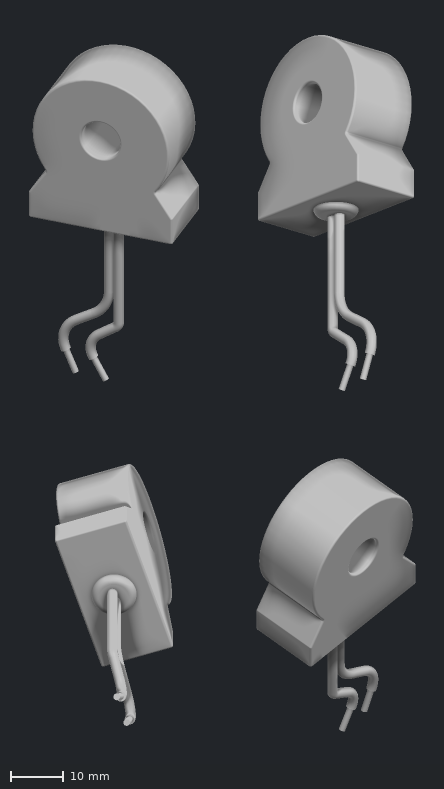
import cadquery as cq
import math

BASE_WIDTH = 29.4
DEPTH = 14.4
HOUSING_HEIGHT = 33.3
HEAD_RADIUS = 14.0
SHOULDER_HEIGHT = 5.65
NECK_HEIGHT = 10.8
EDGE_RADIUS = 0.4

BORE_RADIUS = 3.95
BORE_HEIGHT = 20.0

OUTLET_RADIUS = 4.3
OUTLET_HEIGHT = 1.35

WIRE_RADIUS = 1.0
BARE_RADIUS = 0.65

LEFT_WIRE = {
    "entry_x": -WIRE_RADIUS,
    "upper_corner_z": -21.0,
    "upper_bend": 6.5,
    "lower_corner": (-11.75, -27.6),
    "lower_bend": 5.3,
    "insulation_end": (-9.8, -32.0),
    "bare_length": 5.0,
}
RIGHT_WIRE = {
    "entry_x": WIRE_RADIUS,
    "upper_corner_z": -24.5,
    "upper_bend": 1.4,
    "lower_corner": (-6.0, -29.4),
    "lower_bend": 3.9,
    "insulation_end": (-4.2, -32.65),
    "bare_length": 5.1,
}


def make_housing():
    """Housing with rounded edges, bore and cable outlet."""
    half_width = BASE_WIDTH / 2
    head_z = HOUSING_HEIGHT - HEAD_RADIUS
    neck_x = math.sqrt(HEAD_RADIUS**2 - (NECK_HEIGHT - head_z) ** 2)
    body = (
        cq.Workplane("XZ")
        .moveTo(-half_width, 0)
        .lineTo(half_width, 0)
        .lineTo(half_width, SHOULDER_HEIGHT)
        .lineTo(neck_x, NECK_HEIGHT)
        .threePointArc((0, HOUSING_HEIGHT), (-neck_x, NECK_HEIGHT))
        .lineTo(-half_width, SHOULDER_HEIGHT)
        .close()
        .extrude(DEPTH / 2, both=True)
    )
    body = body.edges("|Y").fillet(EDGE_RADIUS)

    bore = (
        cq.Workplane("XZ")
        .center(0, BORE_HEIGHT)
        .circle(BORE_RADIUS)
        .extrude(DEPTH, both=True)
    )
    body = body.cut(bore)
    body = body.faces("<Y or >Y").edges().fillet(EDGE_RADIUS)

    flat_radius = OUTLET_RADIUS - OUTLET_HEIGHT
    arc_inset = OUTLET_HEIGHT * (1 - math.sqrt(0.5))
    outlet = (
        cq.Workplane("XZ")
        .lineTo(OUTLET_RADIUS, 0)
        .threePointArc(
            (OUTLET_RADIUS - arc_inset, arc_inset - OUTLET_HEIGHT),
            (flat_radius, -OUTLET_HEIGHT),
        )
        .lineTo(0, -OUTLET_HEIGHT)
        .close()
        .revolve(360, (0, 0), (0, 1))
    )
    return body.union(outlet)


def direction(start, end):
    """Unit vector from start to end."""
    return (end - start).normalized()


def bend_points(before, corner, after, radius):
    """Start, middle and end of the arc that rounds a corner of the centreline."""
    back = direction(corner, before)
    ahead = direction(corner, after)
    half_angle = back.getAngle(ahead) / 2
    tangent_length = radius / math.tan(half_angle)
    middle_distance = radius / math.sin(half_angle) - radius
    middle = corner + (back + ahead).normalized() * middle_distance
    return corner + back * tangent_length, middle, corner + ahead * tangent_length


def make_wire(wire):
    """One wire: insulation swept along its bent centreline, plus the straight bare tip."""
    entry = cq.Vector(wire["entry_x"], 0, -OUTLET_HEIGHT)
    upper = cq.Vector(wire["entry_x"], 0, wire["upper_corner_z"])
    lower = cq.Vector(wire["lower_corner"][0], 0, wire["lower_corner"][1])
    end = cq.Vector(wire["insulation_end"][0], 0, wire["insulation_end"][1])

    upper_start, upper_middle, upper_end = bend_points(entry, upper, lower, wire["upper_bend"])
    lower_start, lower_middle, lower_end = bend_points(upper, lower, end, wire["lower_bend"])
    centreline = cq.Workplane(
        cq.Wire.assembleEdges(
            [
                cq.Edge.makeLine(entry, upper_start),
                cq.Edge.makeThreePointArc(upper_start, upper_middle, upper_end),
                cq.Edge.makeLine(upper_end, lower_start),
                cq.Edge.makeThreePointArc(lower_start, lower_middle, lower_end),
                cq.Edge.makeLine(lower_end, end),
            ]
        )
    )
    insulation = (
        cq.Workplane("XY", origin=entry.toTuple()).circle(WIRE_RADIUS).sweep(centreline)
    )
    bare_tip = cq.Solid.makeCylinder(
        BARE_RADIUS, wire["bare_length"], end, direction(lower, end)
    )
    return insulation.union(cq.Workplane(bare_tip))


housing = make_housing()
wires = [make_wire(wire) for wire in (LEFT_WIRE, RIGHT_WIRE)]

result = cq.Compound.makeCompound([housing.val(), *[wire.val() for wire in wires]])